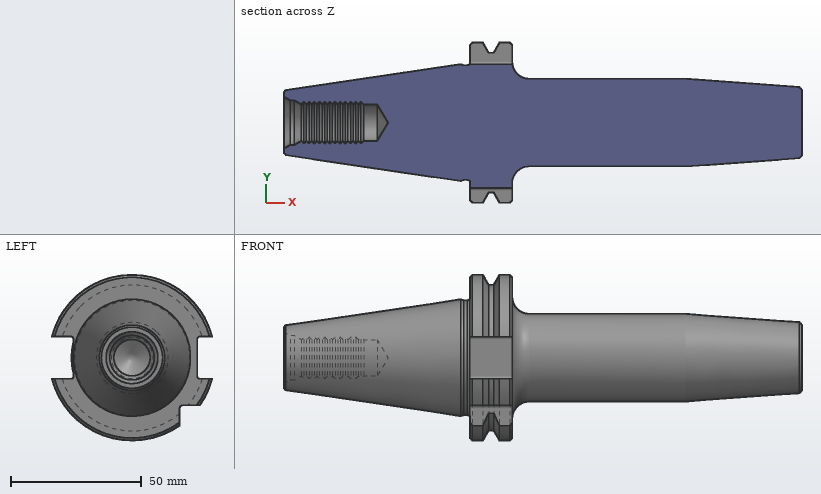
import cadquery as cq
import math

taper_end = 67.6
relief_start = 68.8
relief_end = 70.2
flange_start = 71.2
flange_end = 87.5
nose_start = 153.6
total_length = 198.2

small_end_radius = 12.5
taper_radius = 22.5
relief_radius = 22.0
flange_radius = 31.7
shank_radius = 16.9
nose_end_radius = 13.7

small_end_chamfer = 0.8
flange_chamfer = 1.0
nose_chamfer = 1.2
shank_fillet = 6.3

groove_radius = 28.0
groove_floor_width = 2.0
groove_flank_angle = 30.0
groove_center = 79.3

slot_width = 16.0
back_slot_floor = 22.5
front_slot_floor = 25.0
slot_corner_radius = 1.0
notch_offset = 18.2
notch_corner_radius = 1.2

mouth_radius = 10.0
counterbore_radius = 8.5
counterbore_depth = 4.0
countersink_angle = 60.0
thread_minor_radius = 7.0
thread_major_radius = 8.0
thread_pitch = 2.0
thread_turns = 12
hole_depth = 35.7
drill_tip_angle = 118.0


def make_body():
    """Revolve the taper, flange, shank and nose around the X axis."""
    groove_half_floor = groove_floor_width / 2
    flank_run = (flange_radius - groove_radius) * math.tan(math.radians(groove_flank_angle))
    groove_half_mouth = groove_half_floor + flank_run
    fillet_lag = shank_fillet * (1 - math.sqrt(0.5))
    return (
        cq.Workplane("XY")
        .moveTo(0, 0)
        .lineTo(0, small_end_radius - small_end_chamfer)
        .lineTo(small_end_chamfer, small_end_radius)
        .lineTo(taper_end, taper_radius)
        .lineTo(relief_start, relief_radius)
        .lineTo(relief_end, relief_radius)
        .lineTo(flange_start, taper_radius)
        .lineTo(flange_start, flange_radius - flange_chamfer)
        .lineTo(flange_start + flange_chamfer, flange_radius)
        .lineTo(groove_center - groove_half_mouth, flange_radius)
        .lineTo(groove_center - groove_half_floor, groove_radius)
        .lineTo(groove_center + groove_half_floor, groove_radius)
        .lineTo(groove_center + groove_half_mouth, flange_radius)
        .lineTo(flange_end - flange_chamfer, flange_radius)
        .lineTo(flange_end, flange_radius - flange_chamfer)
        .lineTo(flange_end, shank_radius + shank_fillet)
        .threePointArc(
            (flange_end + fillet_lag, shank_radius + fillet_lag),
            (flange_end + shank_fillet, shank_radius),
        )
        .lineTo(nose_start, shank_radius)
        .lineTo(total_length - nose_chamfer, nose_end_radius)
        .lineTo(total_length, nose_end_radius - nose_chamfer)
        .lineTo(total_length, 0)
        .close()
        .revolve(360, (0, 0, 0), (1, 0, 0))
    )


def flange_cutter(y_inner, side, z_low, z_high):
    """Block through the flange, open outward from y_inner; side is the sign of Y."""
    width = flange_radius
    return (
        cq.Workplane("XY")
        .box(flange_end - flange_start, width, z_high - z_low, centered=False)
        .translate((flange_start, y_inner if side > 0 else y_inner - width, z_low))
    )


def make_drive_slots():
    """Two opposed slots of different depth, with rounded floor corners."""
    half_width = slot_width / 2
    back = flange_cutter(back_slot_floor, 1, -half_width, half_width)
    front = flange_cutter(-front_slot_floor, -1, -half_width, half_width)
    back = back.faces("<Y").edges("|X").fillet(slot_corner_radius)
    front = front.faces(">Y").edges("|X").fillet(slot_corner_radius)
    return back.union(front)


def make_notch():
    """Corner notch on the lower front side of the flange."""
    notch = flange_cutter(-notch_offset, -1, -notch_offset - flange_radius, -notch_offset)
    return notch.edges("|X and >Y and >Z").fillet(notch_corner_radius)


def make_threaded_hole():
    """Stepped hole with ring-shaped thread grooves and a conical bottom."""
    countersink_slope = math.tan(math.radians(countersink_angle / 2))
    mouth_depth = (mouth_radius - counterbore_radius) / countersink_slope
    thread_start = counterbore_depth + (counterbore_radius - thread_minor_radius) / countersink_slope
    tip_length = thread_minor_radius / math.tan(math.radians(drill_tip_angle / 2))
    profile = (
        cq.Workplane("XY")
        .moveTo(0, 0)
        .lineTo(0, mouth_radius)
        .lineTo(mouth_depth, counterbore_radius)
        .lineTo(counterbore_depth, counterbore_radius)
        .lineTo(thread_start, thread_minor_radius)
    )
    for turn in range(thread_turns):
        groove_start = thread_start + turn * thread_pitch
        profile = (
            profile.lineTo(groove_start + thread_pitch / 2, thread_major_radius)
            .lineTo(groove_start + thread_pitch, thread_minor_radius)
        )
    return (
        profile.lineTo(hole_depth, thread_minor_radius)
        .lineTo(hole_depth + tip_length, 0)
        .close()
        .revolve(360, (0, 0, 0), (1, 0, 0))
    )


result = make_body().cut(make_drive_slots()).cut(make_notch()).cut(make_threaded_hole())